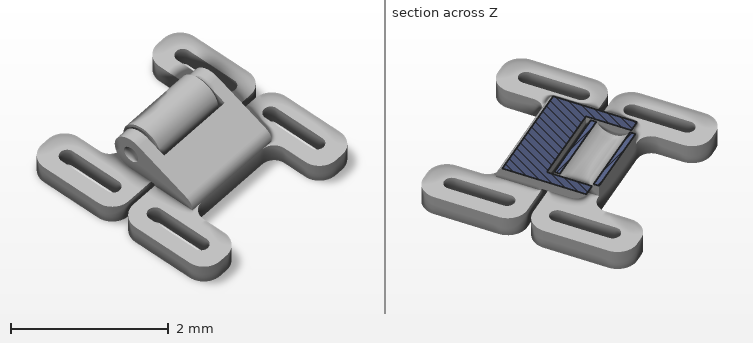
import cadquery as cq
import math

overall_length = 2.99
overall_width = 2.91
overall_height = 0.91
leaf_gap = 0.08
leaf_thickness = 0.287

ear_width = 0.67
ear_corner_radius = 0.275
neck_width = 0.63
neck_fillet_radius = 0.2

slot_length = 0.987
slot_width = 0.215
slot_end_margin = 0.263

barrel_length = 1.105
arm_side_clearance = 0.033
arm_width = 0.182
arm_radius = 0.275
toe_radius = 0.17
toe_wall_height = 0.02
pin_hole_diameter = 0.24
barrel_bore_diameter = 0.545

half_length = overall_length / 2
half_width = overall_width / 2
inner_edge = leaf_gap / 2
neck_edge = inner_edge + neck_width
ear_inner_y = half_width - ear_width
ear_center_y = half_width - ear_width / 2
slot_center_x = half_length - slot_end_margin - slot_length / 2
barrel_radius = neck_width / 2
axis_x = -(inner_edge + barrel_radius)
axis_z = overall_height - barrel_radius
arm_inner_y = barrel_length / 2 + arm_side_clearance
arm_outer_y = arm_inner_y + arm_width


def extrude_along_y(profile, length):
    """Extrude an XZ profile symmetrically about the XZ plane."""
    return profile.extrude(length / 2, both=True)


def bore_along_axis(body, diameter):
    """Bore a body along the hinge axis through its full width."""
    bore = cq.Workplane("XZ").center(axis_x, axis_z).circle(diameter / 2)
    return body.cut(extrude_along_y(bore, overall_width))


def make_leaf():
    """Flat leaf on the +X side: neck, two rounded ears, one slot per ear."""
    leaf = (
        cq.Workplane("XY")
        .moveTo(inner_edge, -half_width)
        .lineTo(half_length, -half_width)
        .lineTo(half_length, -ear_inner_y)
        .lineTo(neck_edge, -ear_inner_y)
        .lineTo(neck_edge, ear_inner_y)
        .lineTo(half_length, ear_inner_y)
        .lineTo(half_length, half_width)
        .lineTo(inner_edge, half_width)
        .close()
        .extrude(leaf_thickness)
    )
    leaf = leaf.edges("|Z and (not <X) and (not >X)").fillet(neck_fillet_radius)
    leaf = leaf.edges("|Z and (<X or >X)").fillet(ear_corner_radius)
    slots = (
        cq.Workplane("XY")
        .pushPoints([(slot_center_x, -ear_center_y), (slot_center_x, ear_center_y)])
        .slot2D(slot_length, slot_width)
        .extrude(leaf_thickness)
    )
    return leaf.cut(slots)


def make_barrel_leaf():
    """Leaf on the -X side with the round-topped barrel block between the arms."""
    block_profile = (
        cq.Workplane("XZ")
        .moveTo(-neck_edge, 0)
        .lineTo(-neck_edge, axis_z)
        .threePointArc((axis_x, overall_height), (-inner_edge, axis_z))
        .lineTo(-inner_edge, 0)
        .close()
    )
    leaf = make_leaf().mirror("YZ")
    barrel_block = extrude_along_y(block_profile, barrel_length)
    return bore_along_axis(leaf.union(barrel_block), barrel_bore_diameter)


def arm_profile():
    """Round eye, sloping top tangent to eye and toe, and foot on the leaf."""
    toe_x = neck_edge - toe_radius
    toe_z = leaf_thickness + toe_wall_height
    center_distance = math.hypot(toe_x - axis_x, axis_z - toe_z)
    center_line_drop = math.atan2(axis_z - toe_z, toe_x - axis_x)
    slope = center_line_drop + math.asin((arm_radius - toe_radius) / center_distance)

    def on_circle(center_x, center_z, radius, angle):
        """Point on a circle at an angle measured from +Z toward +X."""
        return center_x + radius * math.sin(angle), center_z + radius * math.cos(angle)

    arm_bottom_z = axis_z - arm_radius
    toe_middle_angle = (slope + math.pi / 2) / 2
    return (
        cq.Workplane("XZ")
        .moveTo(inner_edge, leaf_thickness)
        .lineTo(inner_edge, arm_bottom_z)
        .lineTo(axis_x, arm_bottom_z)
        .threePointArc((axis_x - arm_radius, axis_z), on_circle(axis_x, axis_z, arm_radius, slope))
        .lineTo(*on_circle(toe_x, toe_z, toe_radius, slope))
        .threePointArc(on_circle(toe_x, toe_z, toe_radius, toe_middle_angle), (neck_edge, toe_z))
        .lineTo(neck_edge, leaf_thickness)
        .close()
    )


def make_arm_leaf():
    """Leaf on the +X side with a wedge that reaches over as two arms."""
    wedge = extrude_along_y(arm_profile(), 2 * arm_outer_y)
    barrel_space_profile = (
        cq.Workplane("XZ")
        .moveTo(-half_length, 0)
        .lineTo(inner_edge, 0)
        .lineTo(inner_edge, overall_height)
        .lineTo(-half_length, overall_height)
        .close()
    )
    forked_wedge = wedge.cut(extrude_along_y(barrel_space_profile, 2 * arm_inner_y))
    return bore_along_axis(make_leaf().union(forked_wedge), pin_hole_diameter)


barrel_leaf = make_barrel_leaf()
arm_leaf = make_arm_leaf()

result = cq.Compound.makeCompound([barrel_leaf.val(), arm_leaf.val()])